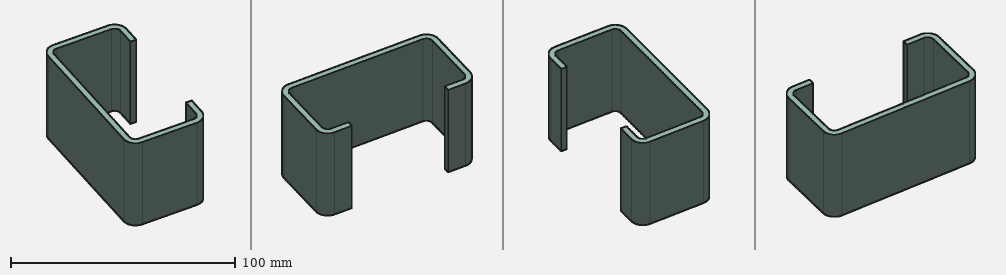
import cadquery as cq

width = 80.0
depth = 40.0
length = 47.0
wall = 3.0
lip = 15.0
outer_radius = 6.0
inner_radius = outer_radius - wall
mouth_width = width - 2 * lip


def rounded_block(size_x, size_y, corner_radius):
    """Block of the channel length, centred on the origin, with rounded upright edges."""
    block = cq.Workplane("XY").box(size_x, size_y, length)
    return block.edges("|Z").fillet(corner_radius)


outside = rounded_block(width, depth, outer_radius)
inside = rounded_block(width - 2 * wall, depth - 2 * wall, inner_radius)
tube = outside.cut(inside)

mouth = (
    cq.Workplane("XY")
    .box(mouth_width, wall, length)
    .translate((0, (depth - wall) / 2, 0))
)

result = tube.cut(mouth)